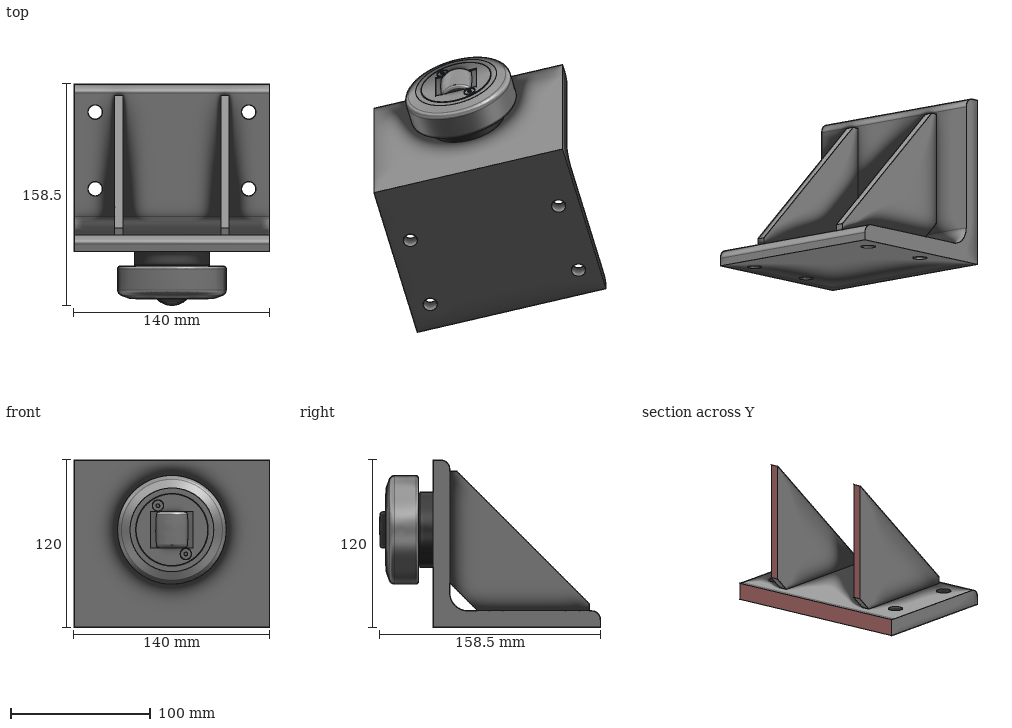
import math
import cadquery as cq


bracket_length = 140.0
leg = 120.0
leg_thickness = 12.0
root_radius = 13.0
toe_radius = 6.5

gusset_thickness = 6.0
gusset_centre_x = 38.0
gusset_reach = 112.0
gusset_nose = 5.0
gusset_relief = 20.0

hole_diameter = 10.11
hole_centre_x = 55.0
hole_edge_distance = 20.0
hole_pitch = 55.0

bearing_height = 70.0
neck_diameter = 54.0
neck_front = 9.5
hub_diameter = 52.0
hub_front = 34.0
hub_chamfer = 0.3
ring_back = 10.4
ring_front = 33.6
ring_diameter = 78.0
ring_crown = 0.1
ring_face_diameter = 60.0
ring_face_slope = 20.0
ring_back_radius = 2.0
ring_front_radius = 4.2

pocket_width = 30.4
pocket_height = 26.0
pocket_depth = 1.0
roller_radius = 15.0
roller_crown = 0.5
roller_end_radius = 2.2
roller_front = 38.5

screw_circle_radius = 20.0
screw_angles = (120.0, 300.0)
screw_diameter = 7.8
screw_recess_diameter = 8.2
screw_gap_depth = 0.5
socket_diameter = 2.6
socket_depth = 0.5


def face_workplane(front):
    """Plane facing -Y at the given distance, centred on the bearing axis."""
    return cq.Workplane("XZ", origin=(0, -front, bearing_height))


def disc(diameter, back, front):
    return face_workplane(back).circle(diameter / 2).extrude(front - back)


def make_bracket():
    angle = (
        cq.Workplane("YZ")
        .polyline([
            (0, 0),
            (leg, 0),
            (leg, leg_thickness),
            (leg_thickness, leg_thickness),
            (leg_thickness, leg),
            (0, leg),
        ])
        .close()
        .extrude(bracket_length / 2, both=True)
    )

    def corner(y, z):
        return cq.selectors.NearestToPointSelector((0, y, z))

    angle = angle.edges(corner(leg_thickness, leg_thickness)).fillet(root_radius)
    angle = angle.edges(corner(leg_thickness, leg)).fillet(toe_radius)
    angle = angle.edges(corner(leg, leg_thickness)).fillet(toe_radius)

    first_row_y = leg - hole_edge_distance
    hole_centres = [
        (side * hole_centre_x, y)
        for side in (-1, 1)
        for y in (first_row_y, first_row_y - hole_pitch)
    ]
    holes = cq.Workplane("XY").pushPoints(hole_centres).circle(hole_diameter / 2).extrude(leg_thickness)
    return angle.cut(holes)


def make_gusset(centre_x):
    inner = leg_thickness
    return (
        cq.Workplane("YZ", origin=(centre_x, 0, 0))
        .polyline([
            (inner + gusset_relief, inner),
            (gusset_reach, inner),
            (gusset_reach, inner + gusset_nose),
            (inner + gusset_nose, gusset_reach),
            (inner, gusset_reach),
            (inner, inner + gusset_relief),
        ])
        .close()
        .extrude(gusset_thickness / 2, both=True)
    )


def make_outer_ring():
    """Solid wheel with a slightly crowned tread and a shallow conical front."""
    crown_radius = ring_diameter / 2
    edge_radius = crown_radius - ring_crown
    face_radius = ring_face_diameter / 2
    cone_back = ring_front - (edge_radius - face_radius) * math.tan(math.radians(ring_face_slope))
    tread_middle = (ring_back + cone_back) / 2
    ring = (
        cq.Workplane("XY", origin=(0, 0, bearing_height))
        .moveTo(0, -ring_back)
        .lineTo(edge_radius, -ring_back)
        .threePointArc((crown_radius, -tread_middle), (edge_radius, -cone_back))
        .lineTo(face_radius, -ring_front)
        .lineTo(0, -ring_front)
        .close()
        .revolve(360, (0, 0), (0, 1))
    )
    ring = ring.faces(">Y").edges().fillet(ring_back_radius)
    cone_edge = cq.selectors.NearestToPointSelector((0, -cone_back, bearing_height))
    return ring.edges(cone_edge).fillet(ring_front_radius)


def make_side_roller():
    """Crowned roller on a Z axis, as long as its pocket, with rounded ends."""
    half_length = pocket_height / 2
    end_radius = roller_radius - roller_crown
    roller = (
        cq.Workplane("XZ")
        .moveTo(0, -half_length)
        .lineTo(end_radius, -half_length)
        .threePointArc((roller_radius, 0), (end_radius, half_length))
        .lineTo(0, half_length)
        .close()
        .revolve(360, (0, 0), (0, 1))
    )
    roller = roller.faces("<Z or >Z").edges().fillet(roller_end_radius)
    return roller.translate((0, roller_radius - roller_front, bearing_height))


def cut_screws(body):
    """Outline each flush screw with a narrow ring gap and a central socket."""
    screw_centres = [
        (
            screw_circle_radius * math.cos(math.radians(angle)),
            screw_circle_radius * math.sin(math.radians(angle)),
        )
        for angle in screw_angles
    ]
    face = face_workplane(hub_front).pushPoints(screw_centres)
    gaps = face.circle(screw_recess_diameter / 2).circle(screw_diameter / 2).extrude(-screw_gap_depth)
    sockets = face.circle(socket_diameter / 2).extrude(-socket_depth)
    return body.cut(gaps).cut(sockets)


def make_bearing():
    neck = disc(neck_diameter, 0, neck_front)
    hub = disc(hub_diameter, 0, hub_front).faces("<Y").edges().chamfer(hub_chamfer)
    bearing = neck.union(hub).union(make_outer_ring())
    pocket = face_workplane(hub_front).rect(pocket_width, pocket_height).extrude(-pocket_depth)
    bearing = cut_screws(bearing.cut(pocket))
    return bearing.union(make_side_roller())


result = make_bracket()
for side in (-1, 1):
    result = result.union(make_gusset(side * gusset_centre_x))
result = result.union(make_bearing())